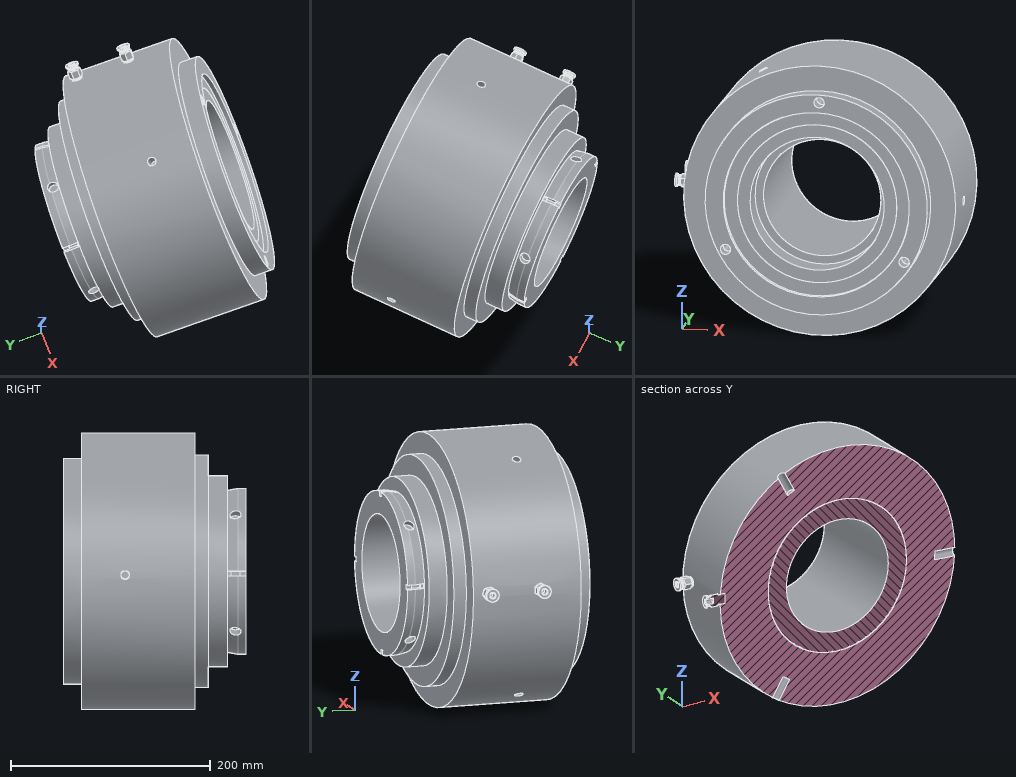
import cadquery as cq
import math

CLOCKING = 1.6

OVERALL_LENGTH = 183.2
BOSS_DIAMETER = 227.0
BOSS_LENGTH = 18.0
DRUM_DIAMETER = 278.0
DRUM_END = 132.3
FLANGE_DIAMETER = 234.0
FLANGE_END = 145.5
NECK_DIAMETER = 192.0
NECK_END = 164.7
RECESS_DIAMETER = 190.0
RECESS_DEPTH = 5.0

FACE_HOLE_COUNT = 3
FACE_HOLE_DIAMETER = 10.3
FACE_HOLE_DEPTH = 14.7
FACE_HOLE_CIRCLE_RADIUS = 105.5
DRILL_POINT_ANGLE = 118.0

RADIAL_HOLE_COUNT = 3
RADIAL_HOLE_DIAMETER = 8.5
RADIAL_HOLE_DEPTH = 23.5
FRONT_PORT_Y = 62.0
PORT_SPACING = 55.0

SLEEVE_DIAMETER = 163.0
SLEEVE_BORE = 120.0
SLEEVE_COUNTERBORE = 137.0
SLEEVE_COUNTERBORE_DEPTH = 26.8
COLLAR_DIAMETER = 166.7
COLLAR_RIM_LENGTH = 8.2

COLLAR_PATTERN_COUNT = 4
SLOT_WIDTH = 4.7
SLOT_FLOOR_DIAMETER = 157.0
POCKET_FLOOR_DIAMETER = 151.0
POCKET_LENGTH = 9.0
SCREW_HOLE_DIAMETER = 11.0
SCREW_HOLE_SETBACK = 10.5

OVERALL_WIDTH = 294.5
RELEASE_FLANGE_DIAMETER = 13.3
RELEASE_FLANGE_LENGTH = 1.8
RELEASE_NECK_DIAMETER = 9.5
RELEASE_NECK_END = 3.5
FITTING_RING_DIAMETER = 11.0
FITTING_RING_END = 4.7
HEX_START = 5.0
HEX_END = 14.0
HEX_ACROSS_FLATS = 11.8
HEX_HALF_ANGLE = 30.0
HEX_FRONT_CHAMFER = 1.5
HEX_REAR_CHAMFER = 0.5
SHOULDER_END = 15.3
FITTING_STEM_DIAMETER = 10.3
FITTING_STEM_DEPTH = 6.0
TUBE_MOUTH_DIAMETER = 6.5
TUBE_MOUTH_DEPTH = 1.5
TUBE_BORE_DIAMETER = 5.3
TUBE_BORE_DEPTH = 8.8
FITTING_ANGLE = 180.0
FRONT_HEX_TURN = 0.0
REAR_HEX_TURN = 22.0

REAR_PORT_Y = FRONT_PORT_Y + PORT_SPACING
DRUM_RADIUS = DRUM_DIAMETER / 2
TILT = math.radians(CLOCKING)
FITTING_TIP_RADIUS = (
    OVERALL_WIDTH - DRUM_RADIUS - RELEASE_FLANGE_DIAMETER / 2 * math.sin(TILT)
) / math.cos(TILT)
STEM_END_RADIUS = DRUM_RADIUS - FITTING_STEM_DEPTH
CUT_START_RADIUS = DRUM_RADIUS + 3.0
SCREW_HOLE_Y = OVERALL_LENGTH - SCREW_HOLE_SETBACK


def cylinder_y(diameter, start, end):
    """A cylinder on the main axis between two Y positions."""
    return cq.Workplane(
        cq.Solid.makeCylinder(diameter / 2, end - start, cq.Vector(0, start, 0), cq.Vector(0, 1, 0))
    )


def about_axis(body, angle):
    """Turn a body about the main axis, counterclockwise from +X towards +Z."""
    return body.rotate((0, 0, 0), (0, 1, 0), -angle)


def cylinder_radial(diameter, inner_radius, outer_radius, y, angle):
    """A cylinder pointing away from the main axis."""
    length = outer_radius - inner_radius
    rod = cq.Solid.makeCylinder(diameter / 2, length, cq.Vector(inner_radius, y, 0), cq.Vector(1, 0, 0))
    return about_axis(cq.Workplane(rod), angle)


def evenly_spaced(count, first_angle):
    """Angles of a full circular pattern, with the common clocking taken off."""
    return [first_angle - CLOCKING + i * 360 / count for i in range(count)]


def make_face_hole():
    """Blind drilled hole with a conical end, on the +X side of the boss face."""
    radius = FACE_HOLE_DIAMETER / 2
    point_length = radius / math.tan(math.radians(DRILL_POINT_ANGLE / 2))
    return (
        cq.Workplane("XY")
        .polyline([
            (0, 0),
            (radius, 0),
            (radius, FACE_HOLE_DEPTH),
            (0, FACE_HOLE_DEPTH + point_length),
        ])
        .close()
        .revolve(360, (0, 0, 0), (0, 1, 0))
        .translate((FACE_HOLE_CIRCLE_RADIUS, 0, 0))
    )


def make_housing():
    body = cylinder_y(BOSS_DIAMETER, 0, BOSS_LENGTH)
    body = body.union(cylinder_y(DRUM_DIAMETER, BOSS_LENGTH, DRUM_END))
    body = body.union(cylinder_y(FLANGE_DIAMETER, DRUM_END, FLANGE_END))
    body = body.union(cylinder_y(NECK_DIAMETER, FLANGE_END, NECK_END))
    body = body.cut(cylinder_y(SLEEVE_DIAMETER, 0, NECK_END))
    body = body.cut(cylinder_y(RECESS_DIAMETER, 0, RECESS_DEPTH))

    for angle in evenly_spaced(FACE_HOLE_COUNT, 90):
        body = body.cut(about_axis(make_face_hole(), angle))

    for angle in evenly_spaced(RADIAL_HOLE_COUNT, 0):
        floor_radius = DRUM_RADIUS - RADIAL_HOLE_DEPTH
        body = body.cut(
            cylinder_radial(RADIAL_HOLE_DIAMETER, floor_radius, CUT_START_RADIUS, FRONT_PORT_Y, angle)
        )

    for y in (FRONT_PORT_Y, REAR_PORT_Y):
        body = body.cut(
            cylinder_radial(
                FITTING_STEM_DIAMETER, STEM_END_RADIUS, CUT_START_RADIUS, y, FITTING_ANGLE - CLOCKING
            )
        )
    return body


def make_slot():
    """Axial slot across the collar on the +X side, with a deeper pocket in its floor."""
    slot_floor = SLOT_FLOOR_DIAMETER / 2
    pocket_floor = POCKET_FLOOR_DIAMETER / 2
    slot_length = OVERALL_LENGTH - NECK_END
    slot = (
        cq.Workplane("XY")
        .box(COLLAR_DIAMETER - slot_floor, slot_length, SLOT_WIDTH, centered=(False, False, True))
        .translate((slot_floor, NECK_END, 0))
    )
    pocket = (
        cq.Workplane("XY")
        .box(COLLAR_DIAMETER - pocket_floor, POCKET_LENGTH, SLOT_WIDTH, centered=(False, True, True))
        .translate((pocket_floor, SCREW_HOLE_Y, 0))
    )
    return slot.union(pocket)


def make_sleeve():
    tube_radius = SLEEVE_DIAMETER / 2
    collar_radius = COLLAR_DIAMETER / 2
    bore_radius = SLEEVE_BORE / 2
    body = (
        cq.Workplane("XY")
        .polyline([
            (bore_radius, RECESS_DEPTH),
            (tube_radius, RECESS_DEPTH),
            (tube_radius, NECK_END),
            (collar_radius, OVERALL_LENGTH - COLLAR_RIM_LENGTH),
            (collar_radius, OVERALL_LENGTH),
            (bore_radius, OVERALL_LENGTH),
        ])
        .close()
        .revolve(360, (0, 0, 0), (0, 1, 0))
    )
    body = body.cut(
        cylinder_y(SLEEVE_COUNTERBORE, RECESS_DEPTH, RECESS_DEPTH + SLEEVE_COUNTERBORE_DEPTH)
    )

    for angle in evenly_spaced(COLLAR_PATTERN_COUNT, 0):
        body = body.cut(about_axis(make_slot(), angle))

    for angle in evenly_spaced(COLLAR_PATTERN_COUNT, 45):
        body = body.cut(
            cylinder_radial(
                SCREW_HOLE_DIAMETER, POCKET_FLOOR_DIAMETER / 2, COLLAR_DIAMETER, SCREW_HOLE_Y, angle
            )
        )
    return body


def make_fitting(y, hex_turn):
    """Hexagonal push-in fitting, modelled along Z with its tip at Z = 0, then set on the drum."""
    hex_flat_radius = HEX_ACROSS_FLATS / 2
    hex_corner_radius = hex_flat_radius / math.cos(math.radians(HEX_HALF_ANGLE))
    stem_length = FITTING_TIP_RADIUS - STEM_END_RADIUS

    def disc(diameter, start, end):
        return cq.Workplane("XY").workplane(offset=start).circle(diameter / 2).extrude(end - start)

    body = disc(RELEASE_FLANGE_DIAMETER, 0, RELEASE_FLANGE_LENGTH)
    body = body.union(disc(RELEASE_NECK_DIAMETER, RELEASE_FLANGE_LENGTH, RELEASE_NECK_END))
    body = body.union(disc(FITTING_RING_DIAMETER, RELEASE_NECK_END, FITTING_RING_END))
    body = body.union(disc(RELEASE_NECK_DIAMETER, FITTING_RING_END, HEX_START))

    nut = (
        cq.Workplane("XY")
        .workplane(offset=HEX_START)
        .polygon(6, 2 * hex_corner_radius)
        .extrude(SHOULDER_END - HEX_START)
        .rotate((0, 0, 0), (0, 0, 1), hex_turn)
    )
    nut_envelope = (
        cq.Workplane("XZ")
        .polyline([
            (0, HEX_START),
            (RELEASE_NECK_DIAMETER / 2, HEX_START),
            (hex_corner_radius, HEX_START + HEX_FRONT_CHAMFER),
            (hex_corner_radius, HEX_END - HEX_REAR_CHAMFER),
            (hex_flat_radius, HEX_END),
            (FITTING_STEM_DIAMETER / 2, SHOULDER_END),
            (0, SHOULDER_END),
        ])
        .close()
        .revolve(360, (0, 0, 0), (0, 1, 0))
    )
    body = body.union(nut.intersect(nut_envelope))
    body = body.union(disc(FITTING_STEM_DIAMETER, SHOULDER_END, stem_length))

    body = body.cut(disc(TUBE_MOUTH_DIAMETER, 0, TUBE_MOUTH_DEPTH))
    body = body.cut(disc(TUBE_BORE_DIAMETER, 0, TUBE_BORE_DEPTH))

    body = body.rotate((0, 0, 0), (0, 1, 0), -90).translate((FITTING_TIP_RADIUS, y, 0))
    return about_axis(body, FITTING_ANGLE - CLOCKING)


housing = make_housing()
sleeve = make_sleeve()
fittings = [
    make_fitting(y, hex_turn)
    for y, hex_turn in ((FRONT_PORT_Y, FRONT_HEX_TURN), (REAR_PORT_Y, REAR_HEX_TURN))
]

result = cq.Compound.makeCompound([
    housing.val(),
    sleeve.val(),
    *[fitting.val() for fitting in fittings],
])